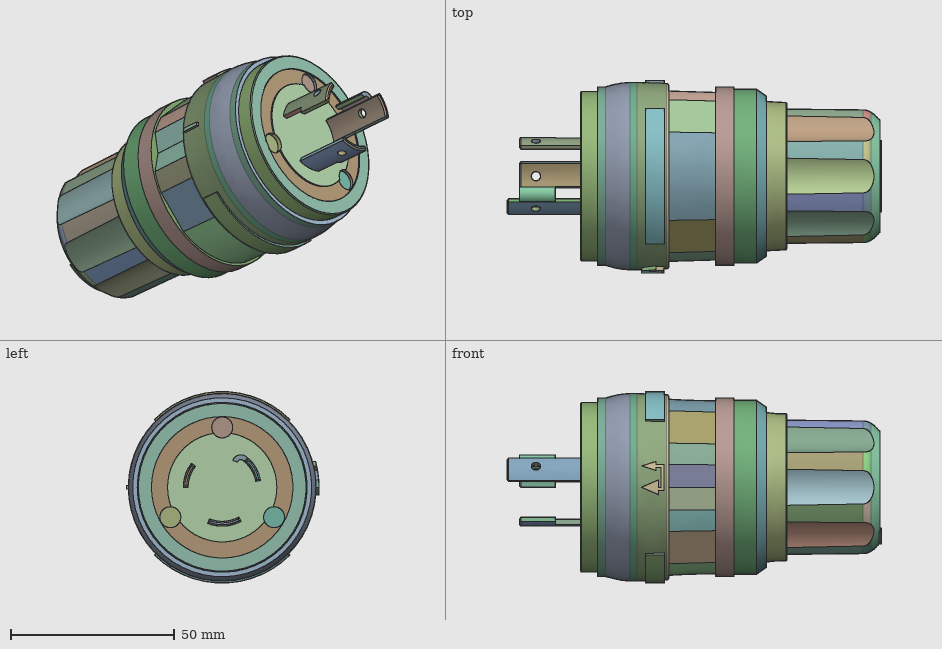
import cadquery as cq
import math


long_tip_x = 0.0
short_tip_x = 3.8
tab_end_x = 14.8
face_x = 22.5
band_start_x = 27.7
band_end_x = 30.1
crown_start_x = 37.6
crown_end_x = 39.7
pad_start_x = 42.4
pad_end_x = 48.1
head_end_x = 49.5
collar_start_x = 63.8
collar_end_x = 69.4
cone_start_x = 76.3
cone_end_x = 79.4
neck_end_x = 85.7
grip_round_x = 108.9
grip_bevel_x = 111.3
grip_end_x = 114.2
overall_length = 114.5

face_radius = 26.0
band_radius = 27.4
crown_radius = 28.7
head_end_radius = 28.4
waist_start_radius = 27.0
waist_end_radius = 26.6
shoulder_radius = 26.7
cone_end_radius = 24.5
neck_start_radius = 22.9
neck_end_radius = 22.6
edge_chamfer = 0.3
head_end_rounding = 0.7
crown_bulge = 0.7

grip_start_radius = 21.3
grip_round_radius = 21.0
grip_bevel_radius = 19.9
grip_end_radius = 17.1
flute_count = 8
flute_half_angle = 15.0
flute_depth = 1.6
end_strip_inner_radius = 16.0
end_strip_outer_radius = 17.4
end_strip_half_angle = 39.0

flat_start_angle = 30.0
flat_end_angle = 60.0
vee_half_angle = 15.0
vee_depth = 1.3

pad_radius = 29.3
pad_half_angle = 45.0
mark_radius = 29.7
index_bar_radius = 29.3
index_bar_width = 1.1
relief_base_radius = head_end_radius - 1.1

large_arrow_tip_x = 41.1
large_arrow_base_x = 46.4
large_arrow_half_width = 2.3
small_arrow_tip_x = 41.2
small_arrow_base_x = 45.6
small_arrow_half_width = 1.4
small_arrow_z = 6.5
bracket_outer_x = 48.0
bracket_width = 0.9

ring_inner_radius = 16.7
ring_outer_radius = 21.6
ring_depth = 0.5
recess_radius = 3.2
recess_circle_radius = 18.3
recess_depth = 1.4
recess_count = 3

blade_outer_radius = 11.9
blade_inner_radius = 10.4
blade_root = 1.1
blade_tip_chamfer = 0.5
blade_hole_diameter = 2.7
blade_hole_x = 8.8
notch_clearance = 1.1

hooked_blade_from = 131.0
hooked_blade_to = 170.0
hooked_blade_hole = 147.0
lower_blade_from = -119.0
lower_blade_to = -68.0
lower_blade_hole = -90.0
lower_notch_to = -108.0
side_blade_from = 0.0
side_blade_to = 38.0
side_blade_hole = 25.0
side_notch_to = 9.0

hook_tangent_angle = 128.0
hook_outer_radius = 2.6
hook_inner_radius = hook_outer_radius - (blade_outer_radius - blade_inner_radius)
hook_start_angle = 20.0
hook_end_angle = 145.0


def polar(radius, angle):
    """Y, Z of a point at a radius and an angle in degrees about X."""
    return radius * math.cos(math.radians(angle)), radius * math.sin(math.radians(angle))


def ring_sector(inner, outer, angle_from, angle_to, x_from, x_to, centre=(0, 0)):
    """Part of a tube along X between two angles."""
    middle = (angle_from + angle_to) / 2
    sector = (
        cq.Workplane("YZ", origin=(x_from, centre[0], centre[1]))
        .moveTo(*polar(outer, angle_from))
        .threePointArc(polar(outer, middle), polar(outer, angle_to))
        .lineTo(*polar(inner, angle_to))
        .threePointArc(polar(inner, middle), polar(inner, angle_from))
        .close()
    )
    return sector.extrude(x_to - x_from)


def turned(profile):
    """Revolve a closed outline of X, radius about the X axis."""
    return profile.close().revolve(360, (0, 0, 0), (1, 0, 0))


def head():
    bulge = ((band_end_x + crown_start_x) / 2, band_radius + crown_bulge * (crown_radius - band_radius))
    return turned(
        cq.Workplane("XY")
        .moveTo(face_x, 0)
        .lineTo(face_x, face_radius - edge_chamfer)
        .lineTo(face_x + edge_chamfer, face_radius)
        .lineTo(band_start_x, face_radius)
        .lineTo(band_start_x, band_radius)
        .lineTo(band_end_x, band_radius)
        .threePointArc(bulge, (crown_start_x, crown_radius))
        .lineTo(crown_end_x, crown_radius)
        .lineTo(head_end_x - head_end_rounding, head_end_radius)
        .tangentArcPoint((head_end_x, head_end_radius - head_end_rounding), relative=False)
        .lineTo(head_end_x, 0)
    )


def waist_outline(x, radius):
    """Round above and below, with flats at the corners and a vee groove on each side."""
    right, left = 0.0, 180.0
    vee_radius = radius * math.cos(math.radians(vee_half_angle)) - vee_depth
    outline = cq.Workplane("YZ", origin=(x, 0, 0)).moveTo(*polar(vee_radius, right))
    for side in (right, left):
        rise = side + vee_half_angle
        flat_start = side + flat_start_angle
        flat_end = side + flat_end_angle
        next_side = side + 180
        outline = (
            outline.lineTo(*polar(radius, rise))
            .threePointArc(
                polar(radius, (rise + flat_start) / 2),
                polar(radius, flat_start),
            )
            .lineTo(*polar(radius, flat_end))
            .threePointArc(
                polar(radius, side + 90),
                polar(radius, next_side - flat_end_angle),
            )
            .lineTo(*polar(radius, next_side - flat_start_angle))
            .threePointArc(
                polar(radius, next_side - (flat_start_angle + vee_half_angle) / 2),
                polar(radius, next_side - vee_half_angle),
            )
        )
        if side == right:
            outline = outline.lineTo(*polar(vee_radius, left))
    return outline.close().val()


def waist():
    ends = [
        waist_outline(head_end_x, waist_start_radius),
        waist_outline(collar_start_x, waist_end_radius),
    ]
    return cq.Workplane(cq.Solid.makeLoft(ends, True))


def collar_and_neck():
    return turned(
        cq.Workplane("XY")
        .moveTo(collar_start_x, 0)
        .lineTo(collar_start_x, band_radius)
        .lineTo(collar_end_x, band_radius)
        .lineTo(collar_end_x, shoulder_radius)
        .lineTo(cone_start_x, shoulder_radius)
        .lineTo(cone_end_x, cone_end_radius)
        .lineTo(cone_end_x, neck_start_radius)
        .lineTo(neck_end_x - edge_chamfer, neck_end_radius)
        .lineTo(neck_end_x, neck_end_radius - edge_chamfer)
        .lineTo(neck_end_x, 0)
    )


def cable_grip():
    grip = turned(
        cq.Workplane("XY")
        .moveTo(neck_end_x, 0)
        .lineTo(neck_end_x, grip_start_radius)
        .lineTo(grip_round_x, grip_round_radius)
        .tangentArcPoint((grip_bevel_x, grip_bevel_radius), relative=False)
        .lineTo(grip_end_x, grip_end_radius)
        .lineTo(grip_end_x, 0)
    )
    chord_distance, half_width = polar(grip_start_radius, flute_half_angle)
    flute_radius = (half_width**2 + flute_depth**2) / (2 * flute_depth)
    flute_centre_radius = chord_distance - flute_depth + flute_radius
    for index in range(flute_count):
        centre = polar(flute_centre_radius, index * 360 / flute_count)
        flute = cq.Workplane("YZ", origin=(neck_end_x, *centre)).circle(flute_radius)
        grip = grip.cut(flute.extrude(overall_length - neck_end_x))
    return grip


def end_strip():
    """Low curved strip on the bevelled rim of the grip."""
    return ring_sector(
        end_strip_inner_radius,
        end_strip_outer_radius,
        -90 - end_strip_half_angle,
        -90 + end_strip_half_angle,
        grip_bevel_x,
        overall_length,
    )


def head_pads():
    """Raised pads on the top and bottom of the head."""
    pads = cq.Workplane("YZ")
    for middle in (90, -90):
        pads = pads.union(
            ring_sector(
                relief_base_radius,
                pad_radius,
                middle - pad_half_angle,
                middle + pad_half_angle,
                pad_start_x,
                pad_end_x,
            )
        )
    return pads


def head_marks():
    """Two arrowheads joined by a bracket on the -Y side, and an index bar on the +Y side."""
    large_arrow = [
        (large_arrow_tip_x, 0),
        (large_arrow_base_x, large_arrow_half_width),
        (large_arrow_base_x, -large_arrow_half_width),
    ]
    small_arrow = [
        (small_arrow_tip_x, small_arrow_z),
        (small_arrow_base_x, small_arrow_z + small_arrow_half_width),
        (small_arrow_base_x, small_arrow_z - small_arrow_half_width),
    ]
    bracket_top_z = small_arrow_z + bracket_width / 2
    bracket_inner_x = bracket_outer_x - bracket_width
    bracket = [
        (small_arrow_base_x, bracket_top_z),
        (bracket_outer_x, bracket_top_z),
        (bracket_outer_x, -bracket_width),
        (large_arrow_base_x, -bracket_width),
        (large_arrow_base_x, 0),
        (bracket_inner_x, 0),
        (bracket_inner_x, bracket_top_z - bracket_width),
        (small_arrow_base_x, bracket_top_z - bracket_width),
    ]
    shell = (
        cq.Workplane("YZ", origin=(crown_end_x, 0, 0))
        .circle(mark_radius)
        .circle(relief_base_radius)
        .extrude(head_end_x - crown_end_x)
    )
    marks = cq.Workplane("XZ")
    for outline in (large_arrow, small_arrow, bracket):
        prism = cq.Workplane("XZ").polyline(outline).close().extrude(mark_radius)
        marks = marks.union(prism.intersect(shell))
    index_bar = cq.Workplane("XY", origin=(pad_start_x, relief_base_radius, 0)).box(
        pad_end_x - pad_start_x,
        index_bar_radius - relief_base_radius,
        index_bar_width,
        centered=(False, False, True),
    )
    return marks.union(index_bar)


def face_recesses():
    """Shallow ring groove and three round recesses in the front face."""
    face = cq.Workplane("YZ", origin=(face_x, 0, 0))
    recesses = face.circle(ring_outer_radius).circle(ring_inner_radius).extrude(ring_depth)
    for index in range(recess_count):
        centre = polar(recess_circle_radius, 90 + index * 360 / recess_count)
        recesses = recesses.union(face.moveTo(*centre).circle(recess_radius).extrude(recess_depth))
    return recesses


def blade(tip_x, angle_from, angle_to, hole_angle):
    """Curved contact blade with a radial hole near its tip."""
    body = ring_sector(
        blade_inner_radius, blade_outer_radius, angle_from, angle_to, tip_x, face_x + blade_root
    )
    body = body.faces("<X").edges().chamfer(blade_tip_chamfer)
    hole = (
        cq.Workplane("XY", origin=(blade_hole_x, 0, 0))
        .circle(blade_hole_diameter / 2)
        .extrude(face_radius)
        .rotate((0, 0, 0), (1, 0, 0), hole_angle - 90)
    )
    return body.cut(hole)


def blade_notch(angle_from, angle_to):
    """Cut that narrows a blade behind its tip, leaving a locking tab."""
    return ring_sector(
        blade_inner_radius - notch_clearance,
        blade_outer_radius + notch_clearance,
        angle_from,
        angle_to,
        tab_end_x,
        face_x + blade_root,
    )


def blades():
    hook_centre = polar(blade_outer_radius - hook_outer_radius, hook_tangent_angle)
    hook = ring_sector(
        hook_inner_radius,
        hook_outer_radius,
        hook_start_angle,
        hook_end_angle,
        short_tip_x,
        tab_end_x,
        hook_centre,
    )
    hooked = blade(long_tip_x, hooked_blade_from, hooked_blade_to, hooked_blade_hole).union(hook)
    lower = blade(short_tip_x, lower_blade_from, lower_blade_to, lower_blade_hole)
    lower = lower.cut(blade_notch(lower_blade_from, lower_notch_to))
    side = blade(short_tip_x, side_blade_from, side_blade_to, side_blade_hole)
    side = side.cut(blade_notch(side_blade_from, side_notch_to))
    return hooked.union(lower).union(side)


result = (
    head()
    .cut(face_recesses())
    .union(head_pads())
    .union(head_marks())
    .union(waist())
    .union(collar_and_neck())
    .union(cable_grip())
    .union(end_strip())
    .union(blades())
)